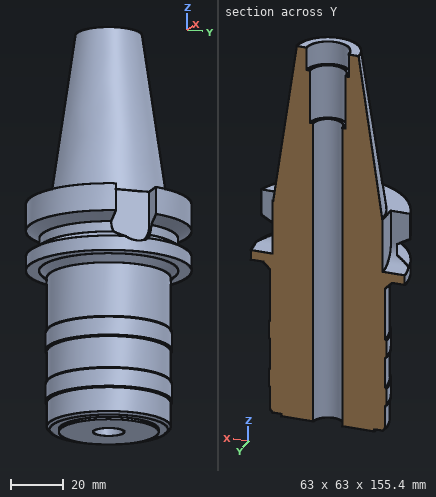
import cadquery as cq

total_height = 155.4
gauge_height = 90.0
gauge_diameter = 44.5
taper_ratio = 7 / 24
tip_diameter = gauge_diameter - taper_ratio * (total_height - gauge_height)

flange_diameter = 63.0
upper_flange_top = 89.2
upper_flange_bottom = 78.6
groove_top = 75.7
groove_bottom = 71.6
groove_diameter = 52.7
lower_flange_top = 68.7
lower_flange_bottom = 63.1

body_diameter = 47.1
body_top = 60.3
neck_diameter = 52.8
band_diameter = 48.0
band_height = 8.0
band_bottoms = (11.3, 31.4)
band_chamfer = (band_diameter - body_diameter) / 2

end_disc_diameter = 37.9
end_disc_height = 1.0
body_chamfer = 1.1

slot_width = 16.2
slot_bottom = 67.3
slot_floor_distance = 22.5

mouth_diameter = 17.1
mouth_depth = 9.3
middle_diameter = 14.5
middle_depth = 31.1
through_diameter = 11.8


def cylinder(diameter, bottom, top):
    return cq.Workplane("XY").workplane(offset=bottom).circle(diameter / 2).extrude(top - bottom)


def make_holder():
    """Revolve the taper, flange and plain body around Z."""
    profile = [
        (0, 0),
        (end_disc_diameter / 2, 0),
        (end_disc_diameter / 2, end_disc_height),
        (body_diameter / 2 - body_chamfer, end_disc_height),
        (body_diameter / 2, end_disc_height + body_chamfer),
        (body_diameter / 2, body_top),
        (neck_diameter / 2, lower_flange_bottom),
        (flange_diameter / 2, lower_flange_bottom),
        (flange_diameter / 2, lower_flange_top),
        (groove_diameter / 2, groove_bottom),
        (groove_diameter / 2, groove_top),
        (flange_diameter / 2, upper_flange_bottom),
        (flange_diameter / 2, upper_flange_top),
        (gauge_diameter / 2, upper_flange_top),
        (gauge_diameter / 2, gauge_height),
        (tip_diameter / 2, total_height),
        (0, total_height),
    ]
    return cq.Workplane("XZ").polyline(profile).close().revolve(360, (0, 0, 0), (0, 1, 0))


def make_band(bottom):
    """Raised ring with chamfers that run down to the body surface."""
    return cylinder(band_diameter, bottom, bottom + band_height).edges().chamfer(band_chamfer)


def make_slot(side):
    """Round-bottomed slot cutter, open at the flange top; side is -1 or +1 along X."""
    radius = slot_width / 2
    arc_center = slot_bottom + radius
    return (
        cq.Workplane("YZ")
        .workplane(offset=side * slot_floor_distance)
        .moveTo(-radius, upper_flange_top)
        .lineTo(-radius, arc_center)
        .threePointArc((0, slot_bottom), (radius, arc_center))
        .lineTo(radius, upper_flange_top)
        .close()
        .extrude(side * flange_diameter / 2)
    )


def make_bore():
    bore = cylinder(through_diameter, 0, total_height)
    bore = bore.union(cylinder(middle_diameter, total_height - middle_depth, total_height))
    return bore.union(cylinder(mouth_diameter, total_height - mouth_depth, total_height))


result = make_holder()
for band_bottom in band_bottoms:
    result = result.union(make_band(band_bottom))
for slot_side in (-1, 1):
    result = result.cut(make_slot(slot_side))
result = result.cut(make_bore())